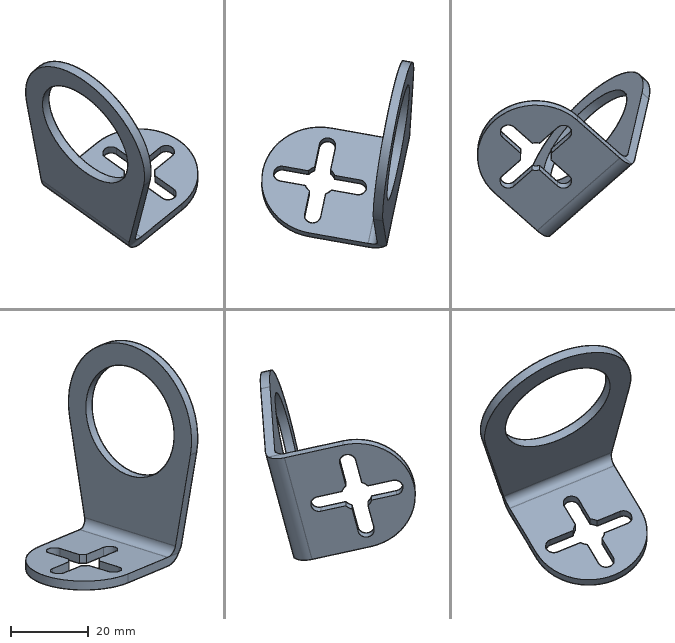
import cadquery as cq
import math

height = 56.45
depth = 35.5
thickness = 2.5
inner_bend_radius = 2.5
outer_bend_radius = inner_bend_radius + thickness

ring_radius = 21.0
ring_hole_diameter = 30.0
ring_center_z = height - ring_radius

foot_width = 30.0
foot_radius = foot_width / 2
foot_center_y = depth - foot_radius

slot_length = 24.2
slot_width = 4.2
cross_hole_diameter = 8.0


def bent_sheet():
    """L-shaped sheet with a rounded bend, as wide as the ring."""
    return (
        cq.Workplane("YZ")
        .moveTo(0, height)
        .lineTo(0, outer_bend_radius)
        .radiusArc((outer_bend_radius, 0), -outer_bend_radius)
        .lineTo(depth, 0)
        .lineTo(depth, thickness)
        .lineTo(outer_bend_radius, thickness)
        .radiusArc((thickness, outer_bend_radius), inner_bend_radius)
        .lineTo(thickness, height)
        .close()
        .extrude(ring_radius, both=True)
    )


def front_outline():
    """Block with the upright's outline: straight foot edge, tangent flanks, round top."""
    drop = ring_center_z - thickness
    corner_distance = math.hypot(foot_radius, drop)
    tangent_angle = math.acos(ring_radius / corner_distance) - math.atan2(drop, foot_radius)
    tangent_x = ring_radius * math.cos(tangent_angle)
    tangent_z = ring_center_z + ring_radius * math.sin(tangent_angle)
    return (
        cq.Workplane("XZ")
        .moveTo(-foot_radius, 0)
        .lineTo(foot_radius, 0)
        .lineTo(foot_radius, thickness)
        .lineTo(tangent_x, tangent_z)
        .threePointArc((0, height), (-tangent_x, tangent_z))
        .lineTo(-foot_radius, thickness)
        .close()
        .extrude(-depth)
    )


def foot_outline():
    """Block that rounds the rear of the foot and leaves the upright at full width."""
    upright = cq.Workplane("XY").box(
        2 * ring_radius, outer_bend_radius, height, centered=(True, False, False)
    )
    foot = (
        cq.Workplane("XY")
        .moveTo(-foot_radius, 0)
        .lineTo(foot_radius, 0)
        .lineTo(foot_radius, foot_center_y)
        .threePointArc((0, depth), (-foot_radius, foot_center_y))
        .close()
        .extrude(height)
    )
    return upright.union(foot)


def ring_hole():
    return (
        cq.Workplane("XZ")
        .center(0, ring_center_z)
        .circle(ring_hole_diameter / 2)
        .extrude(-thickness)
    )


def cross_opening():
    """Two crossed slots with a round hole clearing their inner corners."""
    plane = cq.Workplane("XY").center(0, foot_center_y)
    opening = plane.circle(cross_hole_diameter / 2).extrude(thickness)
    for angle in (0, 90):
        opening = opening.union(plane.slot2D(slot_length, slot_width, angle).extrude(thickness))
    return opening


bracket = bent_sheet().intersect(front_outline()).intersect(foot_outline())
result = bracket.cut(ring_hole()).cut(cross_opening())